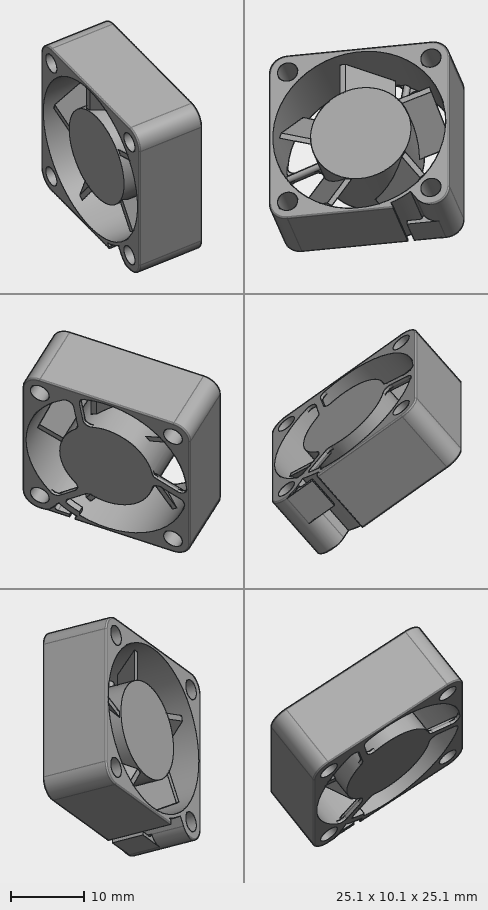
import cadquery as cq
import math

SIDE = 25.1
DEPTH = 10.12
CORNER_RADIUS = 2.5
CORNER_CENTER = SIDE / 2 - CORNER_RADIUS
RIM_FILLET = 0.2
BORE_RADIUS = 12.05
HOLE_DIAMETER = 2.8
HOLE_OFFSET = 10.0

HUB_RADIUS = 7.0
HUB_FRONT = 1.0
BLADE_COUNT = 5
BLADE_FRONT = 1.25
BLADE_REAR = 7.4
BLADE_TIP = 11.0
BLADE_ROOT = 5.02
BLADE_LEFT = -2.95
BLADE_RIGHT = 3.55
BLADE_LAND = 0.8

SPOKE_COUNT = 3
SPOKE_RADIUS = 0.5
SPOKE_ANGLE = 80.0
SPOKE_OFFSET = 2.69
SPOKE_START = 5.02
SPOKE_Y = DEPTH - SPOKE_RADIUS
FRAME_OVERLAP = 0.25
WEB_FILLET = 1.05

NOTCH_WALL_RADIUS = BORE_RADIUS + 0.5
NOTCH_LEFT = 4.7
NOTCH_LEFT_TOP = -12.2
NOTCH_WALL_START = -69.4
NOTCH_WALL_END = -55.2

LIP_LEFT = 5.62
LIP_INNER_END = 7.83
LIP_HEIGHT = 0.53
LIP_FRONT = DEPTH / 2
LIP_FILLET = 0.5

GUARD_RADIUS = 11.47
GUARD_LEFT = 4.07
GUARD_END = -52.5
GUARD_FRONT = DEPTH - 2 * SPOKE_RADIUS


def polar(radius, angle, center=(0.0, 0.0)):
    """Point in the XZ plane at an angle in degrees from +X toward +Z."""
    turn = math.radians(angle)
    return (center[0] + radius * math.cos(turn), center[1] + radius * math.sin(turn))


def section(y):
    """Sketch plane parallel to XZ; a negative extrusion goes toward +Y."""
    return cq.Workplane("XZ", origin=(0, y, 0))


def disc(radius, front, rear):
    return section(front).circle(radius).extrude(front - rear)


def turn_about_axis(body, angle):
    return body.rotate((0, 0, 0), (0, 1, 0), angle)


def fillet_on_radius(body, radius, fillet):
    """Round the edges along Y that meet the cylinder of the given radius."""
    tolerance = 0.003

    def touches(edge):
        center = edge.Center()
        return abs(math.hypot(center.x, center.z) - radius) < tolerance

    return body.edges("|Y").filter(touches).fillet(fillet)


def make_frame():
    frame = section(0).rect(SIDE, SIDE).extrude(-DEPTH)
    frame = frame.edges("|Y").fillet(CORNER_RADIUS)
    frame = frame.faces("<Y or >Y").edges().fillet(RIM_FILLET)
    frame = frame.cut(disc(BORE_RADIUS, 0, DEPTH))
    holes = (
        section(0)
        .rect(2 * HOLE_OFFSET, 2 * HOLE_OFFSET, forConstruction=True)
        .vertices()
        .circle(HOLE_DIAMETER / 2)
        .extrude(-DEPTH)
    )
    return frame.cut(holes)


def make_notch():
    """Space between the bore wall, the screw boss and the bottom side."""
    boss = (CORNER_CENTER, -CORNER_CENTER)
    wall_middle = (NOTCH_WALL_START + NOTCH_WALL_END) / 2
    wall_end = polar(NOTCH_WALL_RADIUS, NOTCH_WALL_END)
    run_x = wall_end[0] - boss[0]
    run_z = wall_end[1] - boss[1]
    tangent_turn = math.acos(CORNER_RADIUS / math.hypot(run_x, run_z))
    boss_angle = math.degrees(math.atan2(run_z, run_x) + tangent_turn)
    boss_bottom = -90.0
    boss_middle = (boss_angle + boss_bottom) / 2
    return (
        section(0)
        .moveTo(NOTCH_LEFT, -SIDE / 2)
        .lineTo(NOTCH_LEFT, NOTCH_LEFT_TOP)
        .lineTo(*polar(NOTCH_WALL_RADIUS, NOTCH_WALL_START))
        .threePointArc(polar(NOTCH_WALL_RADIUS, wall_middle), wall_end)
        .lineTo(*polar(CORNER_RADIUS, boss_angle, boss))
        .threePointArc(polar(CORNER_RADIUS, boss_middle, boss), polar(CORNER_RADIUS, boss_bottom, boss))
        .close()
        .extrude(-DEPTH)
    )


def make_lip():
    """Bottom lip with a rounded inner corner where it meets the screw boss."""
    bottom = -SIDE / 2
    top = bottom + LIP_HEIGHT
    return (
        section(LIP_FRONT)
        .moveTo(LIP_LEFT, bottom)
        .lineTo(LIP_LEFT, top)
        .lineTo(LIP_INNER_END - LIP_FILLET, top)
        .radiusArc((LIP_INNER_END, top + LIP_FILLET), -LIP_FILLET)
        .lineTo(CORNER_CENTER - HOLE_DIAMETER / 2, top + LIP_FILLET)
        .lineTo(CORNER_CENTER, bottom)
        .close()
        .extrude(LIP_FRONT - DEPTH + RIM_FILLET)
    )


def make_guard():
    start_angle = -math.degrees(math.acos(GUARD_LEFT / GUARD_RADIUS))
    outer_radius = BORE_RADIUS + FRAME_OVERLAP
    outer_start = -math.degrees(math.acos(GUARD_LEFT / outer_radius))
    return (
        section(GUARD_FRONT)
        .moveTo(*polar(GUARD_RADIUS, start_angle))
        .threePointArc(polar(GUARD_RADIUS, (start_angle + GUARD_END) / 2), polar(GUARD_RADIUS, GUARD_END))
        .lineTo(*polar(outer_radius, GUARD_END))
        .threePointArc(polar(outer_radius, (outer_start + GUARD_END) / 2), polar(outer_radius, outer_start))
        .close()
        .extrude(GUARD_FRONT - DEPTH)
    )


def make_blade():
    """Pitched blade pointing toward +Z, flat on its front and rear edges."""
    return (
        cq.Workplane("XY", origin=(0, 0, BLADE_ROOT))
        .moveTo(BLADE_LEFT, BLADE_FRONT)
        .lineTo(BLADE_LEFT + BLADE_LAND, BLADE_FRONT)
        .lineTo(BLADE_RIGHT, BLADE_REAR)
        .lineTo(BLADE_RIGHT - BLADE_LAND, BLADE_REAR)
        .close()
        .extrude(BLADE_TIP - BLADE_ROOT)
    )


def make_rotor():
    rotor = disc(HUB_RADIUS, HUB_FRONT, DEPTH)
    blade = make_blade()
    for index in range(BLADE_COUNT):
        rotor = rotor.union(turn_about_axis(blade, index * 360 / BLADE_COUNT))
    return rotor


def make_spokes():
    """Round spokes joined to the hub and bore by flat filleted webs."""
    outer_radius = BORE_RADIUS + FRAME_OVERLAP
    spoke_end = math.sqrt(outer_radius**2 - SPOKE_OFFSET**2)
    length = spoke_end - SPOKE_START
    web = disc(outer_radius, SPOKE_Y, DEPTH).cut(disc(BORE_RADIUS, SPOKE_Y, DEPTH))
    web = web.union(disc(HUB_RADIUS, SPOKE_Y, DEPTH))
    bar = (
        section(SPOKE_Y)
        .center(SPOKE_START + length / 2, -SPOKE_OFFSET)
        .rect(length, 2 * SPOKE_RADIUS)
        .extrude(SPOKE_Y - DEPTH)
        .intersect(disc(outer_radius, SPOKE_Y, DEPTH))
    )
    rod = (
        cq.Workplane("YZ", origin=(SPOKE_START, SPOKE_Y, -SPOKE_OFFSET))
        .circle(SPOKE_RADIUS)
        .extrude(length)
    )
    turns = [-SPOKE_ANGLE - index * 360 / SPOKE_COUNT for index in range(SPOKE_COUNT)]
    for turn in turns:
        web = web.union(turn_about_axis(bar, turn))
    web = fillet_on_radius(web, BORE_RADIUS, WEB_FILLET)
    web = fillet_on_radius(web, HUB_RADIUS, WEB_FILLET)
    for turn in turns:
        web = web.union(turn_about_axis(rod, turn))
    return web


result = (
    make_frame()
    .cut(make_notch())
    .union(make_lip())
    .union(make_guard())
    .union(make_spokes())
    .union(make_rotor())
)